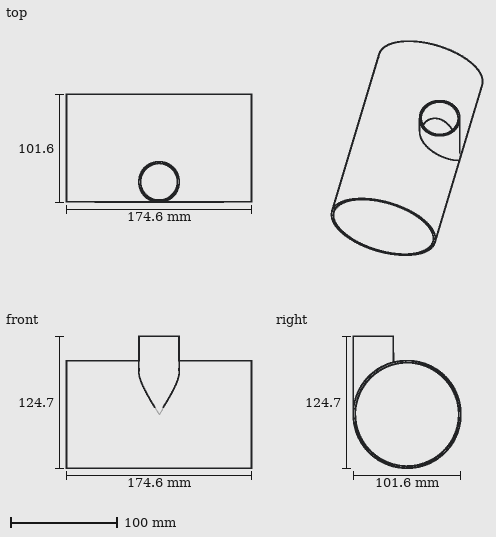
import cadquery as cq

pipe_length = 174.6
pipe_outer_diameter = 101.6
pipe_inner_diameter = 97.5

branch_outer_diameter = 38.0
branch_inner_diameter = 34.7
total_height = 124.7

pipe_radius = pipe_outer_diameter / 2
branch_top = total_height - pipe_radius
branch_y = -(pipe_outer_diameter - branch_outer_diameter) / 2


def pipe_cylinder(diameter):
    """Cylinder along X with the length of the main pipe."""
    return cq.Workplane("YZ").circle(diameter / 2).extrude(pipe_length / 2, both=True)


def branch_cylinder(diameter):
    """Cylinder from the main pipe's mid-plane up to the branch's open end."""
    return cq.Workplane("XY").center(0, branch_y).circle(diameter / 2).extrude(branch_top)


outer_body = pipe_cylinder(pipe_outer_diameter).union(branch_cylinder(branch_outer_diameter))
result = outer_body.cut(pipe_cylinder(pipe_inner_diameter)).cut(branch_cylinder(branch_inner_diameter))